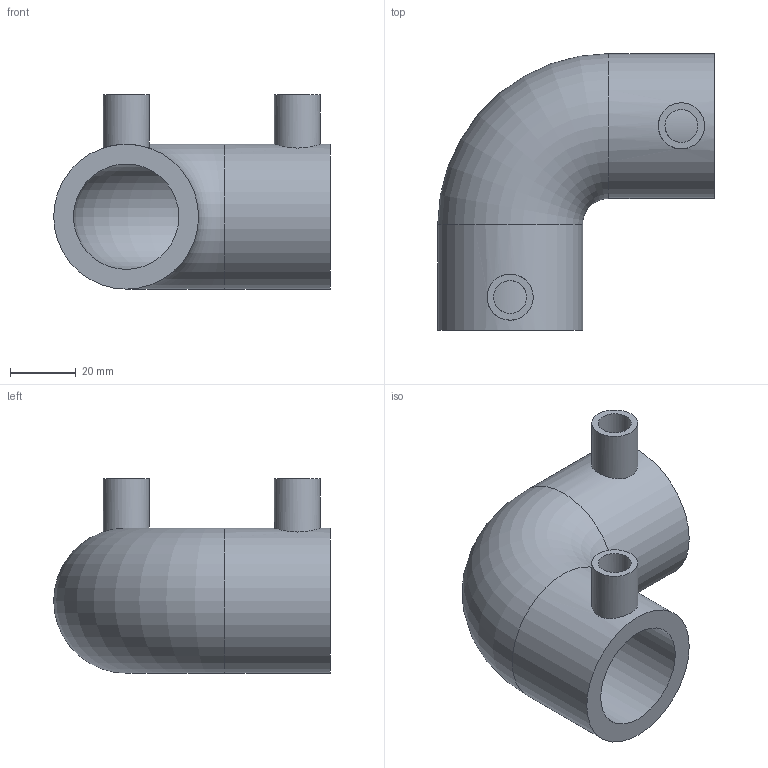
import cadquery as cq

outer_diameter = 44.0
bore_diameter = 32.0
bend_radius = 30.0
bend_angle = 90.0
socket_length = 32.0

terminal_diameter = 14.0
terminal_bore_diameter = 10.0
terminal_top = 37.0
terminal_setback = 10.0

end_distance = bend_radius + socket_length
terminal_distance = end_distance - terminal_setback

bend_start = (0, -bend_radius, 0)
bend_end = (bend_radius, 0, 0)
terminal_centers = [(0, -terminal_distance), (terminal_distance, 0)]


def elbow(diameter):
    """Solid round bar following the elbow's centre line."""
    radius = diameter / 2
    front_socket = (
        cq.Workplane("XZ", origin=bend_start).circle(radius).extrude(socket_length)
    )
    bend = (
        cq.Workplane("XZ", origin=bend_start)
        .circle(radius)
        .revolve(bend_angle, (bend_radius, 0, 0), (bend_radius, -1, 0))
    )
    side_socket = (
        cq.Workplane("YZ", origin=bend_end).circle(radius).extrude(socket_length)
    )
    return front_socket.union(bend).union(side_socket)


def terminal_posts(diameter):
    """Upright cylinders from the pipe axis to the terminal tops."""
    return (
        cq.Workplane("XY")
        .pushPoints(terminal_centers)
        .circle(diameter / 2)
        .extrude(terminal_top)
    )


terminals = terminal_posts(terminal_diameter).cut(terminal_posts(terminal_bore_diameter))
result = elbow(outer_diameter).union(terminals).cut(elbow(bore_diameter))